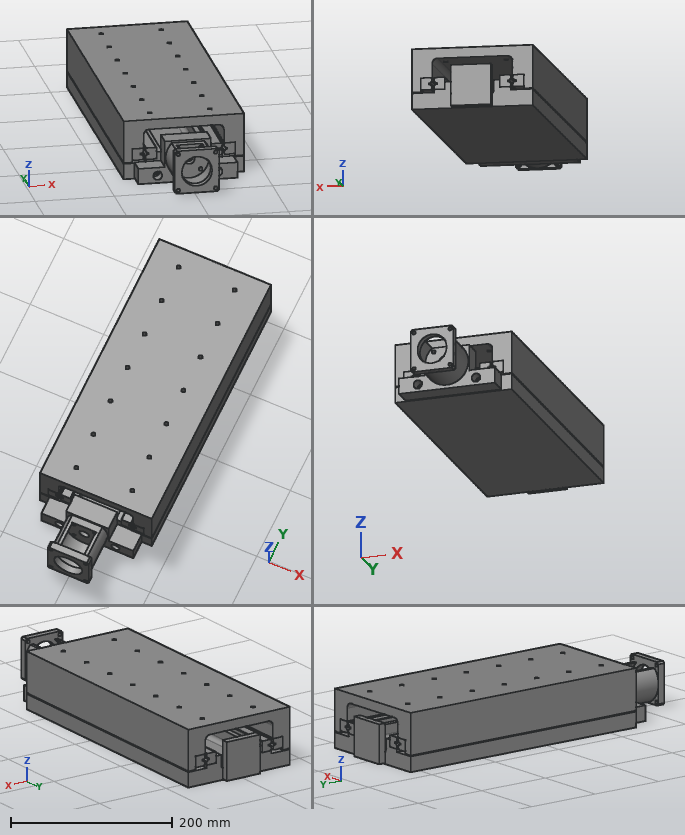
import cadquery as cq


STAGE_WIDTH = 152.3
STAGE_LENGTH = 355.6
STAGE_HEIGHT = 76.2
BASE_TOP = 20.32
RUNNING_GAP = 1.27
CARRIAGE_BOTTOM = BASE_TOP + RUNNING_GAP
END_PART_BOTTOM = RUNNING_GAP
AXIS_Z = 33.6

RAIL_PAIR_WIDTH = 30.7
RAIL_WIDTH = 14.0
RAIL_HEIGHT = 15.0
RAIL_CHAMFER = 0.8
RAIL_BOTTOM = 24.2
RAIL_TOP = RAIL_BOTTOM + RAIL_HEIGHT
RAIL_MID_Z = RAIL_BOTTOM + RAIL_HEIGHT / 2
INNER_RAIL_BACK_X = 34.4
INNER_RAIL_FACE_X = INNER_RAIL_BACK_X + RAIL_WIDTH
OUTER_RAIL_BACK_X = INNER_RAIL_BACK_X + RAIL_PAIR_WIDTH
GROOVE_DEPTH = 3.0
RELIEF_WIDTH = 1.4
RELIEF_DEPTH = 3.8

CARRIAGE_TOP_THICKNESS = 12.7
CARRIAGE_LEG_INSET = 25.4
TUNNEL_WIDTH = STAGE_WIDTH - 2 * CARRIAGE_LEG_INSET
TUNNEL_RADIUS = 7.0
MOUNT_HOLE_DIAMETER = 5.0
MOUNT_HOLE_COLUMNS = 2
MOUNT_HOLE_ROWS = 7
MOUNT_HOLE_SPACING_X = 76.2
MOUNT_HOLE_SPACING_Y = 50.8

PEDESTAL_TOP = 33.4
CHANNEL_WIDTH = 54.4
CHANNEL_FLOOR = 15.0
CHANNEL_RADIUS = 6.0

BRACKET_LENGTH = 25.4
BRACKET_WIDTH = 125.4
BRACKET_WING_TOP = CARRIAGE_BOTTOM
BRACKET_BLOCK_WIDTH = 58.0
BRACKET_TOP = 55.3
BRACKET_BOLT_SPACING = 76.2
BRACKET_BOLT_Z = 10.9
BRACKET_BOLT_DIAMETER = 6.6
COUNTERBORE_DIAMETER = 11.0
COUNTERBORE_DEPTH = 15.0

MOUNT_LENGTH = 57.15
MOUNT_WALL = 9.525
FLANGE_SIZE = 55.9
FLANGE_CHAMFER = 2.5
FLANGE_HOLE_SPACING = 47.14
FLANGE_HOLE_DIAMETER = 4.2
BARREL_FLAT_HEIGHT = 19.05
MOTOR_BORE_DIAMETER = 38.1
SHAFT_HOLE_DIAMETER = 13.2
WALL_HOLE_SPACING = 28.3
WALL_HOLE_DIAMETER = 4.5
CAVITY_DIAMETER = 49.6

REAR_PLATE_WIDTH = 50.0
REAR_PLATE_LENGTH = 9.525
REAR_PLATE_TOP = 52.5


def block(width, y_start, length, z_bottom, z_top):
    """Box centred on X = 0."""
    box = cq.Workplane("XY").box(width, length, z_top - z_bottom, centered=(True, False, False))
    return box.translate((0, y_start, z_bottom))


def front_plane(y):
    """Sketch plane facing -Y, with its origin on the drive axis; extrusions run toward -Y."""
    return cq.Workplane("XZ", origin=(0, y, AXIS_Z))


def stage_block(width, z_bottom, z_top):
    """Box over the full stage length."""
    return block(width, 0, STAGE_LENGTH, z_bottom, z_top)


def make_base():
    plate = stage_block(STAGE_WIDTH, 0, BASE_TOP)
    rail_seat = stage_block(2 * INNER_RAIL_FACE_X, BASE_TOP, RAIL_BOTTOM)
    pedestal = stage_block(2 * INNER_RAIL_BACK_X, RAIL_BOTTOM, PEDESTAL_TOP)
    channel = stage_block(CHANNEL_WIDTH, CHANNEL_FLOOR, PEDESTAL_TOP)
    channel = channel.edges("|Y and <Z").fillet(CHANNEL_RADIUS)
    return plate.union(rail_seat).union(pedestal).cut(channel)


def make_carriage():
    body = stage_block(STAGE_WIDTH, CARRIAGE_BOTTOM, STAGE_HEIGHT)
    tunnel_top = STAGE_HEIGHT - CARRIAGE_TOP_THICKNESS
    tunnel = stage_block(TUNNEL_WIDTH, CARRIAGE_BOTTOM, tunnel_top)
    tunnel = tunnel.edges("|Y and >Z").fillet(TUNNEL_RADIUS)
    rail_pocket = stage_block(2 * OUTER_RAIL_BACK_X, CARRIAGE_BOTTOM, RAIL_TOP)
    mount_holes = (
        cq.Workplane("XY", origin=(0, STAGE_LENGTH / 2, tunnel_top))
        .rarray(MOUNT_HOLE_SPACING_X, MOUNT_HOLE_SPACING_Y, MOUNT_HOLE_COLUMNS, MOUNT_HOLE_ROWS)
        .circle(MOUNT_HOLE_DIAMETER / 2)
        .extrude(CARRIAGE_TOP_THICKNESS)
    )
    return body.cut(tunnel).cut(rail_pocket).cut(mount_holes)


def make_rail(back_x, toward):
    """Rail with its back at back_x and a V groove in the face on the `toward` side (+1 or -1 in X)."""
    rail = cq.Workplane("XY").box(RAIL_WIDTH, STAGE_LENGTH, RAIL_HEIGHT)
    rail = rail.edges("|Y").chamfer(RAIL_CHAMFER)
    rail = rail.translate((back_x + toward * RAIL_WIDTH / 2, STAGE_LENGTH / 2, RAIL_MID_Z))

    face_x = back_x + toward * RAIL_WIDTH
    groove = (
        cq.Workplane("XZ", origin=(face_x, 0, RAIL_MID_Z))
        .moveTo(0, GROOVE_DEPTH)
        .lineTo(-toward * GROOVE_DEPTH, 0)
        .lineTo(0, -GROOVE_DEPTH)
        .close()
        .extrude(-STAGE_LENGTH)
    )
    relief = (
        cq.Workplane("XZ", origin=(face_x - toward * RELIEF_DEPTH / 2, 0, RAIL_MID_Z))
        .rect(RELIEF_DEPTH, RELIEF_WIDTH)
        .extrude(-STAGE_LENGTH)
    )
    return rail.cut(groove).cut(relief)


def make_front_bracket():
    wings = block(BRACKET_WIDTH, -BRACKET_LENGTH, BRACKET_LENGTH, END_PART_BOTTOM, BRACKET_WING_TOP)
    centre = block(BRACKET_BLOCK_WIDTH, -BRACKET_LENGTH, BRACKET_LENGTH, END_PART_BOTTOM, BRACKET_TOP)
    bolt_points = [(side * BRACKET_BOLT_SPACING / 2, 0) for side in (-1, 1)]
    bolt_plane = cq.Workplane("XZ", origin=(0, -BRACKET_LENGTH, BRACKET_BOLT_Z)).pushPoints(bolt_points)
    bolt_holes = bolt_plane.circle(BRACKET_BOLT_DIAMETER / 2).extrude(-BRACKET_LENGTH)
    counterbores = bolt_plane.circle(COUNTERBORE_DIAMETER / 2).extrude(-COUNTERBORE_DEPTH)
    return wings.union(centre).cut(bolt_holes).cut(counterbores)


def make_motor_mount():
    back_y = -BRACKET_LENGTH
    wall_front_y = back_y - MOUNT_WALL
    flange_back_y = back_y - MOUNT_LENGTH + MOUNT_WALL
    barrel_length = MOUNT_LENGTH - MOUNT_WALL
    cavity_length = barrel_length - MOUNT_WALL
    flat_z = AXIS_Z + BARREL_FLAT_HEIGHT

    barrel = front_plane(back_y).circle(FLANGE_SIZE / 2).extrude(barrel_length)
    barrel = barrel.cut(block(FLANGE_SIZE, flange_back_y, barrel_length, flat_z, AXIS_Z + FLANGE_SIZE / 2))
    flange = front_plane(flange_back_y).rect(FLANGE_SIZE, FLANGE_SIZE).extrude(MOUNT_WALL)
    flange = flange.edges("|Y").chamfer(FLANGE_CHAMFER)
    flange_holes = (
        front_plane(flange_back_y)
        .rarray(FLANGE_HOLE_SPACING, FLANGE_HOLE_SPACING, 2, 2)
        .circle(FLANGE_HOLE_DIAMETER / 2)
        .extrude(MOUNT_WALL)
    )
    mount = barrel.union(flange).cut(flange_holes)

    cavity = front_plane(wall_front_y).circle(CAVITY_DIAMETER / 2).extrude(cavity_length)

    bore = front_plane(flange_back_y).circle(MOTOR_BORE_DIAMETER / 2).extrude(MOUNT_WALL)
    shaft_hole = front_plane(back_y).circle(SHAFT_HOLE_DIAMETER / 2).extrude(MOUNT_WALL)
    wall_holes = (
        front_plane(back_y)
        .rarray(WALL_HOLE_SPACING, WALL_HOLE_SPACING, 2, 2)
        .circle(WALL_HOLE_DIAMETER / 2)
        .extrude(MOUNT_WALL)
    )
    return mount.cut(cavity).cut(bore).cut(shaft_hole).cut(wall_holes)


def make_rear_plate():
    return block(REAR_PLATE_WIDTH, STAGE_LENGTH, REAR_PLATE_LENGTH, END_PART_BOTTOM, REAR_PLATE_TOP)


base = make_base()
carriage = make_carriage()
rails = []
for side in (-1, 1):
    rails.append(make_rail(side * INNER_RAIL_BACK_X, side))
    rails.append(make_rail(side * OUTER_RAIL_BACK_X, -side))
front_bracket = make_front_bracket()
motor_mount = make_motor_mount()
rear_plate = make_rear_plate()

result = cq.Compound.makeCompound([
    base.val(),
    carriage.val(),
    *[rail.val() for rail in rails],
    front_bracket.val(),
    motor_mount.val(),
    rear_plate.val(),
])